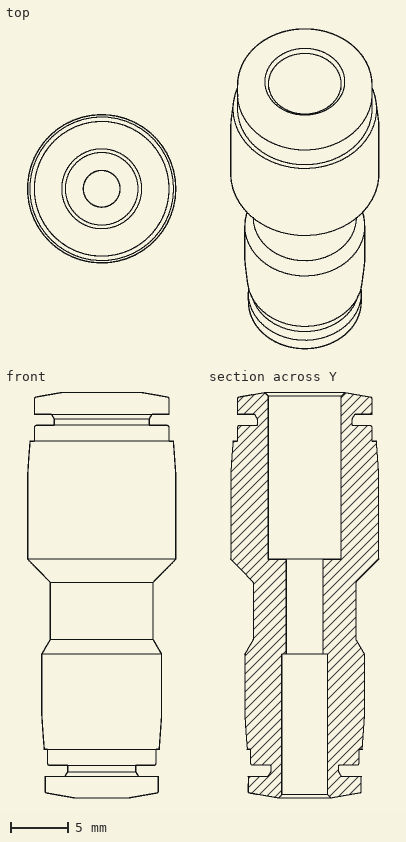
import cadquery as cq
import math

length = 35.5
flange_inner_face = 1.9
collar_face = 2.88
collar_root = 4.25
taper_root = 7.25

upper_body_bottom = 20.9
waist_top = 18.9
waist_bottom = 13.88
lower_body_top = 12.6

waist_diameter = 9.0
passage_diameter = 3.2
edge_round = 0.18
flange_face_angle = 10
bore_lip = 0.32
neck_flare = 0.25
neck_flare_height = 0.4


def cylinder(diameter, bottom, top):
    return cq.Workplane("XY").workplane(offset=bottom).circle(diameter / 2).extrude(top - bottom)


def cone(bottom_diameter, top_diameter, bottom, top):
    profile = [(0, bottom), (bottom_diameter / 2, bottom), (top_diameter / 2, top), (0, top)]
    return cq.Workplane("XZ").polyline(profile).close().revolve(360, (0, 0), (0, 1))


def release_sleeve(flange_diameter, neck_diameter, bore_diameter):
    """Flanged sleeve with its end face at Z = 0 and its neck pointing up."""
    lip_radius = bore_diameter / 2 + bore_lip
    face_rise = (flange_diameter / 2 - lip_radius) * math.tan(math.radians(flange_face_angle))
    flange = (
        cone(2 * lip_radius, flange_diameter, 0, face_rise)
        .union(cylinder(flange_diameter, face_rise, flange_inner_face))
        .edges(cq.selectors.RadiusNthSelector(-1))
        .edges("<Z")
        .fillet(edge_round)
    )
    flare_end = flange_inner_face + neck_flare_height
    flare = cone(neck_diameter + 2 * neck_flare, neck_diameter, flange_inner_face, flare_end)
    neck = cylinder(neck_diameter, flange_inner_face, collar_root)
    return flange.union(flare).union(neck)


def body_end(collar_diameter, taper_diameter, body_diameter, body_end_height):
    """Rounded collar, taper and straight body, ordered upward from the end face."""
    collar = cylinder(collar_diameter, collar_face, collar_root).faces("<Z").edges().fillet(edge_round)
    taper = cone(taper_diameter, body_diameter, collar_root, taper_root)
    body = cylinder(body_diameter, taper_root, body_end_height)
    return collar.union(taper).union(body)


def tube_bore(diameter, depth):
    """Blind tube socket with a chamfered entry, ordered upward from the end face."""
    entry = cone(diameter + 2 * bore_lip, diameter, 0, bore_lip)
    return cylinder(diameter, 0, depth).union(entry)


def at_top(shape):
    """Turn an end built at Z = 0 over so that its face lies at the top."""
    return shape.rotate((0, 0, 0), (1, 0, 0), 180).translate((0, 0, length))


upper_bore_diameter = 6.35
upper_collar_diameter = 11.8
upper_taper_diameter = 12.55
upper_neck_diameter = 8.35
upper_body_diameter = 13.0
upper_depth = length - upper_body_bottom
upper_end = body_end(upper_collar_diameter, upper_taper_diameter, upper_body_diameter, upper_depth).union(
    release_sleeve(upper_collar_diameter, upper_neck_diameter, upper_bore_diameter)
)
upper_bore = tube_bore(upper_bore_diameter, upper_depth)

lower_body_diameter = 10.5
lower_bore_diameter = 3.98
lower_collar_diameter = 9.5
lower_taper_diameter = 10.08
lower_flange_diameter = 9.9
lower_neck_diameter = 5.95
lower_end = body_end(lower_collar_diameter, lower_taper_diameter, lower_body_diameter, lower_body_top).union(
    release_sleeve(lower_flange_diameter, lower_neck_diameter, lower_bore_diameter)
)
lower_bore = tube_bore(lower_bore_diameter, lower_body_top)

waist = (
    cone(lower_body_diameter, waist_diameter, lower_body_top, waist_bottom)
    .union(cylinder(waist_diameter, waist_bottom, waist_top))
    .union(cone(waist_diameter, upper_body_diameter, waist_top, upper_body_bottom))
)

result = (
    lower_end.union(waist)
    .union(at_top(upper_end))
    .cut(lower_bore)
    .cut(at_top(upper_bore))
    .cut(cylinder(passage_diameter, 0, length))
)